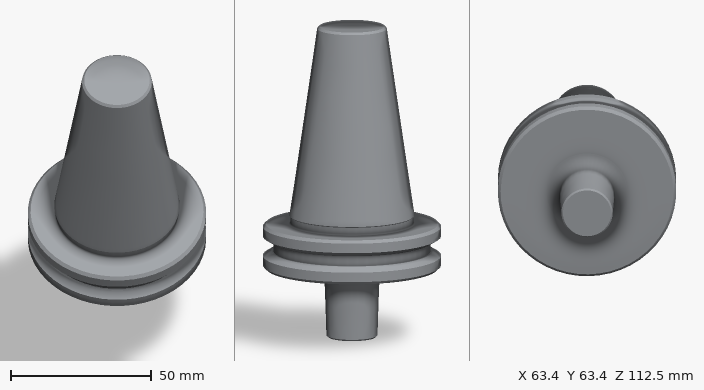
import cadquery as cq
import math

total_height = 112.5
gauge_height = 44.1
flange_bottom = 25.0
flange_top = 41.0

gauge_radius = 22.3
taper_slope = 7 / 48
taper_end_radius = gauge_radius - taper_slope * (total_height - gauge_height)
taper_end_chamfer = 0.8

neck_radius = 21.9
neck_fillet = 0.6
neck_shoulder_height = gauge_height - (gauge_radius - neck_radius)

flange_radius = 31.7
flange_chamfer = 1.0
groove_middle = 33.0
groove_floor_radius = 28.0
groove_floor_width = 3.7
groove_flank_height = 1.7
groove_flank_angle = 30.0
flank_inner_radius = flange_radius - groove_flank_height / math.tan(math.radians(groove_flank_angle))
groove_floor_bottom = groove_middle - groove_floor_width / 2
groove_floor_top = groove_middle + groove_floor_width / 2

spigot_tip_radius = 9.1
spigot_root_radius = 9.8
spigot_tip_chamfer = 0.6
root_fillet = 4.6


def quarter_round(profile, start, center, end, radius):
    """Add a concave arc of the given center and radius."""
    middle_angle = math.atan2(
        (start[1] + end[1]) / 2 - center[1],
        (start[0] + end[0]) / 2 - center[0],
    )
    middle = (
        center[0] + radius * math.cos(middle_angle),
        center[1] + radius * math.sin(middle_angle),
    )
    return profile.threePointArc(middle, end)


def add_spigot(profile):
    fillet_start = (spigot_root_radius, flange_bottom - root_fillet)
    fillet_center = (spigot_root_radius + root_fillet, flange_bottom - root_fillet)
    fillet_end = (spigot_root_radius + root_fillet, flange_bottom)
    profile = (
        profile.lineTo(spigot_tip_radius - spigot_tip_chamfer, 0)
        .lineTo(spigot_tip_radius, spigot_tip_chamfer)
        .lineTo(*fillet_start)
    )
    return quarter_round(profile, fillet_start, fillet_center, fillet_end, root_fillet)


def add_flange(profile):
    return (
        profile.lineTo(flange_radius - flange_chamfer, flange_bottom)
        .lineTo(flange_radius, flange_bottom + flange_chamfer)
        .lineTo(flange_radius, groove_floor_bottom - groove_flank_height)
        .lineTo(flank_inner_radius, groove_floor_bottom)
        .lineTo(groove_floor_radius, groove_floor_bottom)
        .lineTo(groove_floor_radius, groove_floor_top)
        .lineTo(flank_inner_radius, groove_floor_top)
        .lineTo(flange_radius, groove_floor_top + groove_flank_height)
        .lineTo(flange_radius, flange_top - flange_chamfer)
        .lineTo(flange_radius - flange_chamfer, flange_top)
    )


def add_neck(profile):
    fillet_start = (neck_radius + neck_fillet, flange_top)
    fillet_center = (neck_radius + neck_fillet, flange_top + neck_fillet)
    fillet_end = (neck_radius, flange_top + neck_fillet)
    profile = profile.lineTo(*fillet_start)
    profile = quarter_round(profile, fillet_start, fillet_center, fillet_end, neck_fillet)
    return profile.lineTo(neck_radius, neck_shoulder_height)


def add_taper(profile):
    chamfer_height = total_height - taper_end_chamfer
    chamfer_radius = taper_end_radius + taper_slope * taper_end_chamfer
    return (
        profile.lineTo(gauge_radius, gauge_height)
        .lineTo(chamfer_radius, chamfer_height)
        .lineTo(chamfer_radius - taper_end_chamfer, total_height)
        .lineTo(0, total_height)
    )


half_section = cq.Workplane("XZ").moveTo(0, 0)
for add_section in (add_spigot, add_flange, add_neck, add_taper):
    half_section = add_section(half_section)

result = half_section.close().revolve(360, (0, 0, 0), (0, 1, 0))